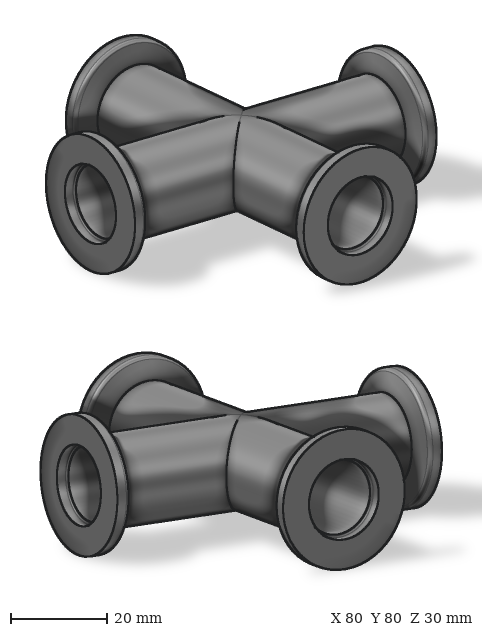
import cadquery as cq
import math

span = 80.0
flange_diameter = 30.0
tube_diameter = 20.0
bore_diameter = 16.0

recess_diameter = 17.2
recess_depth = 2.5
recess_corner_radius = 0.3

rim_width = 2.2
edge_radius = 1.0
cone_angle = 15.0

half_span = span / 2
flange_radius = flange_diameter / 2
tube_radius = tube_diameter / 2
arm_angles = [0, 90, 180, 270]


def flange_profile():
    """Half section of one flange: x is the radius, y the distance along the arm."""
    slope = math.radians(cone_angle)
    arc_center_radius = flange_radius - edge_radius
    rim_end = half_span - rim_width

    def arc_point(angle):
        return (
            arc_center_radius + edge_radius * math.cos(angle),
            rim_end - edge_radius * math.sin(angle),
        )

    arc_sweep = math.pi / 2 - slope
    cone_start = arc_point(arc_sweep)
    cone_end = cone_start[1] - (cone_start[0] - tube_radius) * math.tan(slope)
    return (
        cq.Workplane("XY")
        .moveTo(0, half_span)
        .lineTo(flange_radius, half_span)
        .lineTo(flange_radius, rim_end)
        .threePointArc(arc_point(arc_sweep / 2), cone_start)
        .lineTo(tube_radius, cone_end)
        .lineTo(0, cone_end)
        .close()
    )


def cylinder(radius, start, end):
    """Cylinder along +Y between two distances from the center."""
    return cq.Workplane("XZ", origin=(0, start, 0)).circle(radius).extrude(start - end)


def around(arm):
    """Four copies of a +Y arm, joined into one body."""
    body = arm
    for angle in arm_angles[1:]:
        body = body.union(arm.rotate((0, 0, 0), (0, 0, 1), angle))
    return body


def through_pair(radius):
    """Two crossing full-length cylinders along X and Y."""
    along_y = cylinder(radius, -half_span, half_span)
    return along_y.union(along_y.rotate((0, 0, 0), (0, 0, 1), 90))


flange = flange_profile().revolve(360, (0, 0, 0), (0, 1, 0))
recess = cylinder(recess_diameter / 2, half_span - recess_depth, half_span)
recess = recess.faces("<Y").edges().fillet(recess_corner_radius)

outside = through_pair(tube_radius).union(around(flange))
inside = through_pair(bore_diameter / 2).union(around(recess))
result = outside.cut(inside)